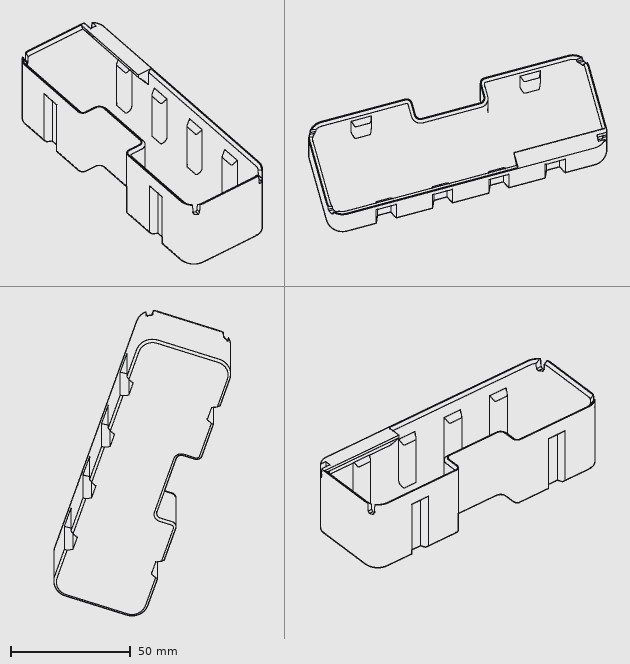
import cadquery as cq
import math

LENGTH = 121.5
WIDTH = 41.2
HEIGHT = 33.7
CORNER_RADIUS = 7.0
BASE_CHAMFER = 1.1

RECESS_WIDTH = 29.6
RECESS_DEPTH = 9.8
RECESS_INNER_RADIUS = 2.2
RECESS_MOUTH_RADIUS = 2.4

WALL = 1.7
FLOOR = 1.5
FLOOR_FILLET = 3.9
RIM_FLAT = 0.43

GROOVE_PITCH = 24.4
GROOVE_MOUTH_WIDTH = 8.7
GROOVE_FLOOR_WIDTH = 5.7
GROOVE_DEPTH = 3.3
GROOVE_TOP = 27.1
GROOVE_SKIN = 0.7
BACK_GROOVES = [i * GROOVE_PITCH for i in (-1.5, -0.5, 0.5, 1.5)]
FRONT_GROOVES = [i * GROOVE_PITCH for i in (-1.5, 1.5)]

SHELF_LENGTH = 40.1
SHELF_WIDTH = CORNER_RADIUS
SHELF_EDGE = 1.3
SHELF_ROOT_DROP = 9.1

NOTCH_INSET = 3.8
NOTCH_LENGTH = 4.6
NOTCH_DEPTH = 5.1
NOTCH_TOP_WIDTH = 2.8
NOTCH_SHOULDER_DEPTH = 4.0
NOTCH_SHOULDER_WIDTH = 2.4
NOTCH_BOTTOM_WIDTH = 1.5

SELECT_MARGIN = 0.1


def tray_outline(inset, height):
    """Plan of the tray, moved inwards by inset, extruded from Z = 0."""
    body = (
        cq.Workplane("XY")
        .rect(LENGTH - 2 * inset, WIDTH - 2 * inset)
        .extrude(height)
        .edges("|Z")
        .fillet(CORNER_RADIUS - inset)
    )
    front = -WIDTH / 2 + inset
    recess_half = RECESS_WIDTH / 2 + inset
    recess_back = -WIDTH / 2 + RECESS_DEPTH + inset
    recess = (
        cq.Workplane("XY")
        .rect(2 * recess_half, 2 * (recess_back - front))
        .extrude(height)
        .translate((0, front, 0))
        .edges("|Z")
        .fillet(RECESS_INNER_RADIUS + inset)
    )
    mouth_corners = cq.selectors.BoxSelector(
        (-recess_half - SELECT_MARGIN, front - SELECT_MARGIN, 0),
        (recess_half + SELECT_MARGIN, front + SELECT_MARGIN, height),
    )
    return body.cut(recess).edges("|Z").edges(mouth_corners).fillet(RECESS_MOUTH_RADIUS - inset)


def make_block():
    """Solid tray without its hollow."""
    return tray_outline(0, HEIGHT).faces("<Z").edges().chamfer(BASE_CHAMFER)


def make_cavity():
    cavity = tray_outline(WALL, HEIGHT - FLOOR).faces("<Z").edges().fillet(FLOOR_FILLET)
    return cavity.translate((0, 0, FLOOR))


def bevel_rim(shell):
    """Slope the inner edge of the rim, leaving a narrow flat at the outside."""
    rim_wires = shell.faces(">Z").wires().vals()
    inner_wire = min(rim_wires, key=lambda wire: wire.Length())
    return shell.newObject(inner_wire.Edges()).chamfer(WALL - RIM_FLAT)


def groove_form(x, skin):
    """Tapered groove in the back wall, grown by skin on its sides, face and top."""
    taper = (GROOVE_MOUTH_WIDTH - GROOVE_FLOOR_WIDTH) / 2 / GROOVE_DEPTH
    depth = GROOVE_DEPTH + skin
    mouth_half = GROOVE_MOUTH_WIDTH / 2 + skin * math.hypot(1, taper)
    face_half = mouth_half - taper * depth
    top = GROOVE_TOP + skin * math.sqrt(2)
    back = WIDTH / 2
    plan = (
        cq.Workplane("XY")
        .polyline([(-mouth_half, back), (mouth_half, back),
                   (face_half, back - depth), (-face_half, back - depth)])
        .close()
        .extrude(HEIGHT)
    )
    if skin > 0:
        plan = plan.faces("<Y").edges("|Z").fillet(skin)
    side = (
        cq.Workplane("YZ")
        .polyline([(back, 0), (back, top), (back - depth, top - depth), (back - depth, 0)])
        .close()
        .extrude(mouth_half, both=True)
    )
    return plan.intersect(side).translate((x, 0, 0))


def all_groove_forms(skin):
    """Forms for the back wall, and for the front wall by half a turn about Z."""
    forms = [groove_form(x, skin) for x in BACK_GROOVES]
    forms += [groove_form(-x, skin).rotate((0, 0, 0), (0, 0, 1), 180) for x in FRONT_GROOVES]
    return forms


def make_shelf():
    """Ledge with a sloping underside that runs down into the back wall."""
    back = WIDTH / 2
    front = back - SHELF_WIDTH
    prism = (
        cq.Workplane("YZ")
        .polyline([(back, HEIGHT), (front, HEIGHT), (front, HEIGHT - SHELF_EDGE),
                   (back, HEIGHT - SHELF_EDGE - SHELF_ROOT_DROP)])
        .close()
        .extrude(SHELF_LENGTH)
        .translate((-LENGTH / 2, 0, 0))
    )
    return prism.intersect(tray_outline(0, HEIGHT))


def make_notch(x_side, y_side):
    """Notch along X through the rim corner on the given sides."""
    levels = [
        (NOTCH_TOP_WIDTH, 0),
        (NOTCH_SHOULDER_WIDTH, NOTCH_SHOULDER_DEPTH),
        (NOTCH_BOTTOM_WIDTH, NOTCH_DEPTH),
    ]
    left_side = [(-width / 2, HEIGHT - depth) for width, depth in levels]
    right_side = [(width / 2, HEIGHT - depth) for width, depth in reversed(levels)]
    return (
        cq.Workplane("YZ")
        .polyline(left_side + right_side)
        .close()
        .extrude(NOTCH_LENGTH, both=True)
        .translate((x_side * LENGTH / 2, y_side * (WIDTH / 2 - NOTCH_INSET), 0))
    )


block = make_block()
result = bevel_rim(block.cut(make_cavity()))
for rib in all_groove_forms(GROOVE_SKIN):
    result = result.union(rib.intersect(block))
result = result.union(make_shelf())
for groove in all_groove_forms(0):
    result = result.cut(groove)
for x_side in (-1, 1):
    for y_side in (-1, 1):
        result = result.cut(make_notch(x_side, y_side))